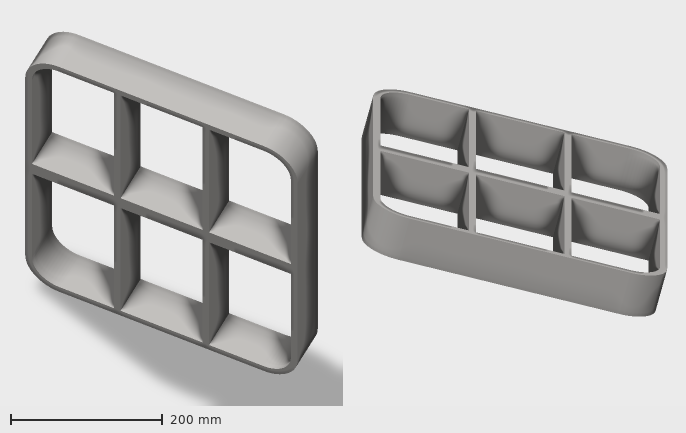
import cadquery as cq

width = 401.5
depth = 60.0
height = 476.0
wall = 10.0
corner_radius = 50.0

columns = 3
post_thickness = 10.0
shelf_thickness = 21.0

inner_width = width - 2 * wall
inner_height = height - 2 * wall
column_pitch = (inner_width + post_thickness) / columns


def upright_block(block_width, block_height):
    """Block through the full depth, centred on the origin."""
    return cq.Workplane("XY").box(block_width, depth, block_height)


def rounded_block(block_width, block_height, radius):
    """Upright block with its four corners rounded along Y."""
    return upright_block(block_width, block_height).edges("|Y").fillet(radius)


opening = rounded_block(inner_width, inner_height, corner_radius - wall)
result = rounded_block(width, height, corner_radius).cut(opening)

result = result.union(upright_block(width - wall, shelf_thickness))

for index in range(1, columns):
    post_x = (index - columns / 2) * column_pitch
    post = upright_block(post_thickness, height - wall).translate((post_x, 0, 0))
    result = result.union(post)